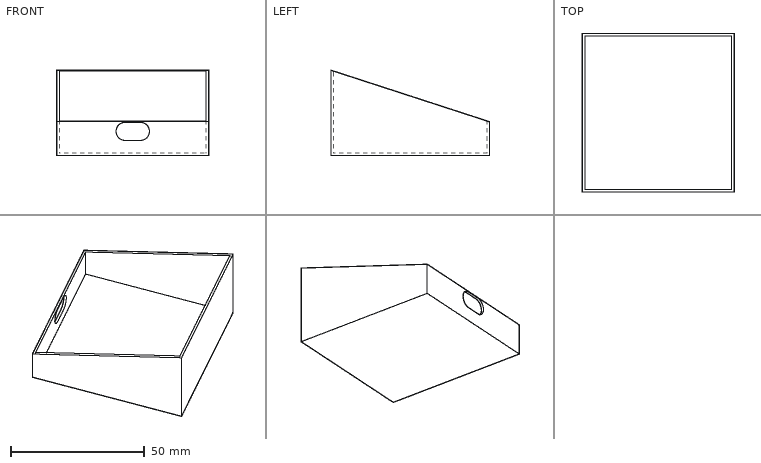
import cadquery as cq

width = 57.0
depth = 59.5
back_height = 32.0
front_height = 12.7

wall = 1.0
floor_thickness = 1.0

slot_length = 12.5
slot_height = 6.8
slot_center_z = 9.05


def sloped_body():
    """Solid wedge whose top falls from the back to the front."""
    side_profile = [
        (-depth / 2, 0),
        (depth / 2, 0),
        (depth / 2, back_height),
        (-depth / 2, front_height),
    ]
    return cq.Workplane("YZ").polyline(side_profile).close().extrude(width / 2, both=True)


def cavity():
    """Rectangular pocket, open through the sloped top."""
    return (
        cq.Workplane("XY", origin=(0, 0, floor_thickness))
        .rect(width - 2 * wall, depth - 2 * wall)
        .extrude(back_height)
    )


def front_slot():
    """Slot cutter reaching inward through the front wall only."""
    return (
        cq.Workplane("XZ", origin=(0, -depth / 2, slot_center_z))
        .slot2D(slot_length, slot_height)
        .extrude(-2 * wall)
    )


result = sloped_body().cut(cavity()).cut(front_slot())